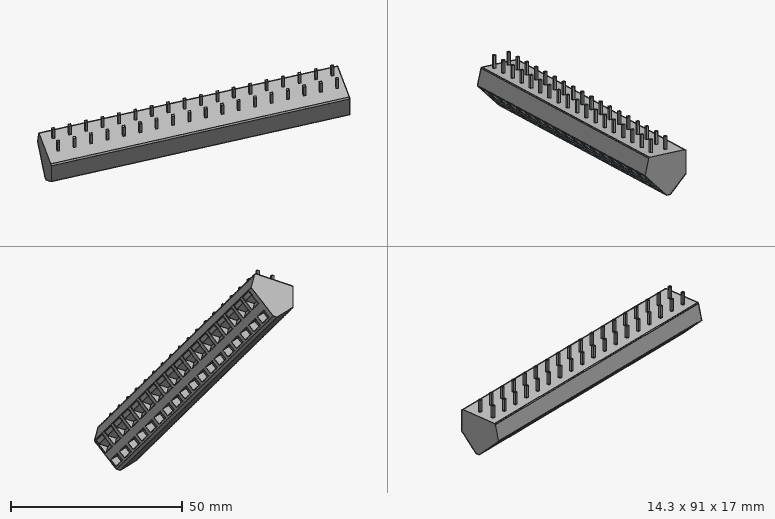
import cadquery as cq
import math

LENGTH = 91.0
BODY_WIDTH = 14.27
BODY_HEIGHT = 13.0
ENTRY_FACE_RISE = 7.5
BACK_FACE_RISE = 5.5
SLANT_ANGLE = 13.4
SLANT_EDGE_CHAMFER = 0.25
BACK_EDGE_RUN = 0.5
BACK_EDGE_DROP = 0.35

POLES = 18
PITCH = 5.0
FIRST_POLE_FROM_END = 2.45
PIN_SIZE = 0.75
PIN_LENGTH = 4.0
FIRST_PIN_ROW_X = 4.27
PIN_ROW_X = (FIRST_PIN_ROW_X, FIRST_PIN_ROW_X + PITCH)

POCKET_WIDTH = 3.7
LOWER_POCKET_BOTTOM = 0.5
LOWER_POCKET_TOP = 2.25
LOWER_POCKET_DEPTH = 3.0
UPPER_POCKET_BOTTOM = 4.05
UPPER_POCKET_TOP = 6.5
UPPER_WALL_RISE = 0.32
UPPER_FLOOR_ANGLE = 12.8
LEDGE_TOP = 7.3
LEDGE_DEPTH = 0.2


def pole_positions():
    """Y of every pole, starting from the +Y end."""
    return [LENGTH - FIRST_POLE_FROM_END - i * PITCH for i in range(POLES)]


def on_entry_face(height, depth=0.0):
    """(X, Z) of the point at a height on the entry face, sunk square to it by depth."""
    step = depth * math.sqrt(0.5)
    return (ENTRY_FACE_RISE - height + step, height + step)


def extrude_along_y(outline, start, length):
    """Solid with the closed (X, Z) outline, from Y = start towards +Y."""
    plane = cq.Workplane("XZ", origin=(0, start, 0))
    return plane.polyline(outline).close().extrude(-length)


def make_housing():
    slant_run = (BODY_HEIGHT - ENTRY_FACE_RISE) * math.tan(math.radians(SLANT_ANGLE))
    outline = [
        (ENTRY_FACE_RISE, 0),
        (BODY_WIDTH - BACK_FACE_RISE, 0),
        (BODY_WIDTH, BACK_FACE_RISE),
        (BODY_WIDTH, BODY_HEIGHT - BACK_EDGE_DROP),
        (BODY_WIDTH - BACK_EDGE_RUN, BODY_HEIGHT),
        (slant_run, BODY_HEIGHT),
        (0, ENTRY_FACE_RISE),
    ]
    housing = extrude_along_y(outline, 0, LENGTH)
    top_edges = housing.faces(">Z").edges("|Y")
    return housing.newObject(top_edges.edges("<X").vals()).chamfer(SLANT_EDGE_CHAMFER)


def lower_pocket_outline():
    return [
        on_entry_face(LOWER_POCKET_BOTTOM),
        on_entry_face(LOWER_POCKET_BOTTOM, LOWER_POCKET_DEPTH),
        on_entry_face(LOWER_POCKET_TOP, LOWER_POCKET_DEPTH),
        on_entry_face(LOWER_POCKET_TOP),
    ]


def upper_pocket_outline():
    """Short 45-degree wall, leaning floor, flat ceiling, then a shallow ledge above the opening."""
    floor_start = on_entry_face(UPPER_POCKET_BOTTOM, UPPER_WALL_RISE * math.sqrt(2))
    ledge_bottom = on_entry_face(UPPER_POCKET_TOP - LEDGE_DEPTH * math.sqrt(0.5), LEDGE_DEPTH)
    floor_rise = UPPER_POCKET_TOP - floor_start[1]
    floor_run = floor_rise * math.tan(math.radians(UPPER_FLOOR_ANGLE))
    return [
        on_entry_face(UPPER_POCKET_BOTTOM),
        floor_start,
        (floor_start[0] + floor_run, UPPER_POCKET_TOP),
        ledge_bottom,
        on_entry_face(LEDGE_TOP, LEDGE_DEPTH),
        on_entry_face(LEDGE_TOP),
    ]


def make_pockets():
    pockets = cq.Workplane()
    for outline in (lower_pocket_outline(), upper_pocket_outline()):
        for y in pole_positions():
            pockets = pockets.add(extrude_along_y(outline, y - POCKET_WIDTH / 2, POCKET_WIDTH))
    return pockets.combine()


def make_pins():
    places = [(x, y) for x in PIN_ROW_X for y in pole_positions()]
    top_plane = cq.Workplane("XY", origin=(0, 0, BODY_HEIGHT))
    return top_plane.pushPoints(places).rect(PIN_SIZE, PIN_SIZE).extrude(PIN_LENGTH)


result = make_housing().cut(make_pockets()).union(make_pins())